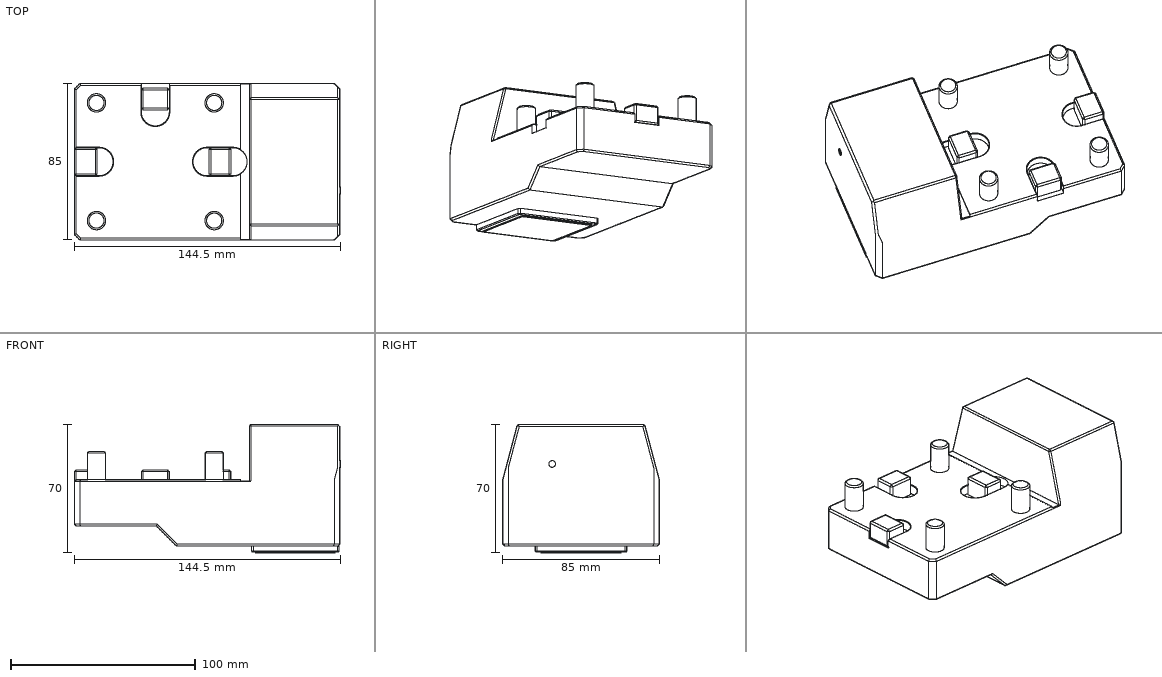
import cadquery as cq
length = 144.5
width = 85.0
height = 70.0

nub_height = 0.5
body_end = length - nub_height
body_bottom = 3.9
step_bottom = 14.7
plate_top = 39.9
ramp_start = 44.5
ramp_end = ramp_start + step_bottom - body_bottom
corner_chamfer = 3.0
edge_chamfer = 1.0

head_start = 95.0
head_top_width = 69.1
head_overlap = 4.3
head_chamfer = 0.9
head_end_chamfer = 1.3

groove_start = 90.2
groove_depth = 0.6

pin_diameter = 10.0
pin_top = 55.2
pin_chamfer = 0.9
pin_spacing = 63.9
first_pin_x = 12.0
pin_pattern_x = first_pin_x + pin_spacing / 2

key_length = 11.9
key_width = 15.2
key_top = 45.2
key_chamfer = 1.0
slot_floor = 34.5
slot_rim_chamfer = 0.3
slot_reach = 7.1
left_key_length = 12.5
left_slot_end = 13.5
middle_key_x = 79.0
back_key_inset = 2.5
back_key_y = width / 2 - back_key_inset - key_length / 2

foot_start = 96.1
foot_end = 143.7
foot_width = 49.9
foot_corner_chamfer = 1.0
foot_edge_chamfer = 0.6
pad_thickness = 0.6
pad_inset_x = 2.3
pad_inset_y = 3.3

nub_diameter = 3.6
nub_y = -15.6
nub_z = 48.4


def box(x_range, y_range, z_range):
    """Block spanning the given (low, high) ranges."""
    ranges = (x_range, y_range, z_range)
    sizes = [high - low for low, high in ranges]
    corner = tuple(low for low, high in ranges)
    return cq.Workplane("XY").box(*sizes, centered=False).translate(corner)


def make_plan():
    """Full-height prism of the housing outline with its four corners cut off."""
    block = box((0, body_end), (-width / 2, width / 2), (0, height))
    return block.edges("|Z").chamfer(corner_chamfer)


def make_base():
    """Stepped lower housing with chamfered edges; the ramp's own bends stay sharp."""
    profile = [
        (0, step_bottom),
        (ramp_start, step_bottom),
        (ramp_end, body_bottom),
        (body_end, body_bottom),
        (body_end, plate_top),
        (0, plate_top),
    ]
    base = cq.Workplane("XZ").polyline(profile).close().extrude(width / 2, both=True)
    base = base.intersect(make_plan())
    underside = cq.selectors.BoxSelector(
        (-edge_chamfer, -width, 0), (length, width, step_bottom + edge_chamfer)
    )
    ramp_bends = cq.selectors.BoxSelector(
        (ramp_start - edge_chamfer, -edge_chamfer, 0),
        (ramp_end + edge_chamfer, edge_chamfer, plate_top),
    )
    base = base.edges(underside - ramp_bends).chamfer(edge_chamfer)
    return base.faces(">Z").edges().chamfer(edge_chamfer)


def make_head():
    """Head with sloping sides, trimmed by the cut corners of the housing outline."""
    bottom = plate_top - head_overlap
    section = [
        (-width / 2, bottom),
        (width / 2, bottom),
        (width / 2, plate_top),
        (head_top_width / 2, height),
        (-head_top_width / 2, height),
        (-width / 2, plate_top),
    ]
    head = cq.Workplane("YZ", origin=(head_start, 0, 0)).polyline(section).close()
    head = head.extrude(body_end - head_start)
    above_plate = cq.selectors.BoxSelector(
        (0, -width, plate_top + edge_chamfer), (length, width, height + edge_chamfer)
    )
    end_face = cq.selectors.BoxSelector(
        (body_end - 2 * head_end_chamfer, -width, 0), (length, width, height + edge_chamfer)
    )
    head = head.edges(above_plate & end_face).chamfer(head_end_chamfer)
    head = head.edges(above_plate - end_face).chamfer(head_chamfer)
    return head.intersect(make_plan())


def make_foot():
    """Chamfered foot with a thin pad under it."""
    foot = box(
        (foot_start, foot_end),
        (-foot_width / 2, foot_width / 2),
        (pad_thickness, body_bottom),
    )
    foot = foot.edges("|Z").chamfer(foot_corner_chamfer)
    foot = foot.faces("<Z").edges().chamfer(foot_edge_chamfer)
    pad_half_width = foot_width / 2 - pad_inset_y
    pad = box(
        (foot_start + pad_inset_x, foot_end - pad_inset_x),
        (-pad_half_width, pad_half_width),
        (0, body_bottom),
    )
    return foot.union(pad)


def make_pins():
    """Four pins on a square pattern, rising through the plate from slot-floor level."""
    pins = cq.Workplane("XY", origin=(pin_pattern_x, 0, slot_floor))
    pins = pins.rect(pin_spacing, pin_spacing, forConstruction=True).vertices()
    pins = pins.circle(pin_diameter / 2).extrude(pin_top - slot_floor)
    return pins.faces(">Z").edges().chamfer(pin_chamfer)


def make_key(x, y, size_x, size_y, edges="|Z or >Z"):
    """Block centred at (x, y) on a slot floor, chamfered on the given edges."""
    key = box(
        (x - size_x / 2, x + size_x / 2),
        (y - size_y / 2, y + size_y / 2),
        (slot_floor, key_top),
    )
    return key.edges(edges).chamfer(key_chamfer)


def make_slot(start, end):
    """Cutter for a key-wide slot between two end centres, flared at its rim."""
    dx = end[0] - start[0]
    dy = end[1] - start[1]
    angle = 90 if dx == 0 else 0
    slot_length = abs(dx) + abs(dy) + key_width
    middle = ((start[0] + end[0]) / 2, (start[1] + end[1]) / 2)

    def slot_outline(z):
        return cq.Workplane("XY", origin=(*middle, z)).slot2D(slot_length, key_width, angle)

    rim_bottom = plate_top - slot_rim_chamfer
    rim = slot_outline(rim_bottom).extrude(slot_rim_chamfer, taper=-45)
    return slot_outline(slot_floor).extrude(plate_top - slot_floor).union(rim)


def make_nub():
    """Disc standing proud of the +X face, rooted inside the head."""
    nub = cq.Workplane("YZ", origin=(head_start, nub_y, nub_z))
    return nub.circle(nub_diameter / 2).extrude(length - head_start)


groove = box((groove_start, head_start), (-width, width), (plate_top - groove_depth, height))
left_slot = make_slot((-key_width, 0), (left_slot_end, 0))
middle_slot = make_slot((middle_key_x - slot_reach, 0), (middle_key_x + slot_reach, 0))
back_slot = make_slot((pin_pattern_x, back_key_y - slot_reach), (pin_pattern_x, width))

left_key = make_key(left_key_length / 2, 0, left_key_length, key_width, "|Z or >Z or <X")
middle_key = make_key(middle_key_x, 0, key_length, key_width)
back_key = make_key(pin_pattern_x, back_key_y, key_width, key_length)

result = make_base()
for cutter in (groove, left_slot, middle_slot, back_slot):
    result = result.cut(cutter)
for solid in (make_head(), make_foot(), make_pins(), make_nub(), left_key, middle_key, back_key):
    result = result.union(solid)